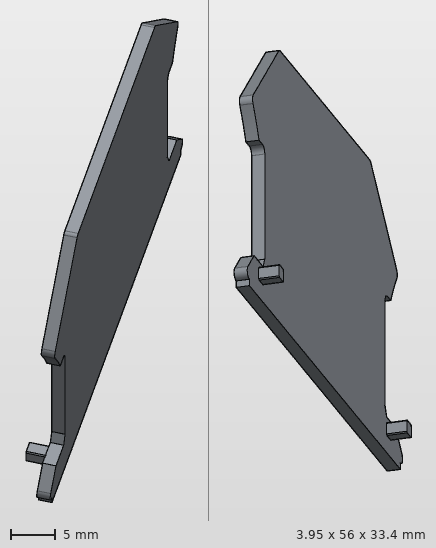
import cadquery as cq
import math

plate_thickness = 1.55
total_height = 33.4
half_length = 28.0

top_half_width = 16.4
top_corner_radius = 0.7
ledge_height = 19.25
ledge_half_width = 23.75
shoulder_angle = math.radians(58)
shoulder_radius = 0.85
shoulder_hollow = 0.1
waist_half_width = 21.7
waist_radius = 0.85

foot_height = 4.35
gusset_width = 0.6
gusset_height = 1.2
toe_radius = 0.8
base_step = 0.8

pin_length = 2.4
pin_width = 1.7
pin_height = 1.55
pin_edge_chamfer = 0.14
pin_offset = 23.0
pin_center_z = 2.9

slope_sum = top_half_width + total_height
tip_overhang = (slope_sum - ledge_half_width - ledge_height) / (1 + math.tan(shoulder_angle))
tip_y = ledge_half_width + tip_overhang
tip_z = slope_sum - tip_y

hollow_y = (ledge_half_width + tip_y) / 2 - shoulder_hollow * math.sin(shoulder_angle)
hollow_z = (ledge_height + tip_z) / 2 + shoulder_hollow * math.cos(shoulder_angle)

toe_center_y = half_length - toe_radius
toe_center_z = base_step + toe_radius
toe_reach = toe_radius * math.sqrt(0.5)
toe_tangent_y = toe_center_y + toe_reach
toe_tangent_z = toe_center_z + toe_reach
foot_top_y = toe_tangent_y + toe_tangent_z - foot_height


def half_plate():
    """Plate half on the +Y side, from X = 0 to the plate thickness."""
    body = (
        cq.Workplane("YZ")
        .moveTo(0, 0)
        .lineTo(toe_center_y, 0)
        .lineTo(toe_center_y, base_step)
        .threePointArc((half_length, toe_center_z), (toe_tangent_y, toe_tangent_z))
        .lineTo(foot_top_y, foot_height)
        .lineTo(waist_half_width + gusset_width, foot_height)
        .lineTo(waist_half_width, foot_height + gusset_height)
        .lineTo(waist_half_width, ledge_height)
        .lineTo(ledge_half_width, ledge_height)
        .threePointArc((hollow_y, hollow_z), (tip_y, tip_z))
        .lineTo(top_half_width, total_height)
        .lineTo(0, total_height)
        .close()
        .extrude(plate_thickness)
    )
    body = round_corner(body, waist_half_width, ledge_height, waist_radius)
    body = round_corner(body, tip_y, tip_z, shoulder_radius)
    return round_corner(body, top_half_width, total_height, top_corner_radius)


def round_corner(body, y, z, radius):
    """Fillet the through-thickness edge at the given outline corner."""
    corner = cq.selectors.NearestToPointSelector((plate_thickness / 2, y, z))
    return body.edges("|X").edges(corner).fillet(radius)


def pin(y):
    """Rectangular pin with its long edges broken."""
    return (
        cq.Workplane("YZ")
        .center(y, pin_center_z)
        .rect(pin_width, pin_height)
        .extrude(-pin_length)
        .edges("|X")
        .chamfer(pin_edge_chamfer)
    )


half = half_plate()
result = half.union(half.mirror("XZ")).clean()
for side in (-1, 1):
    result = result.union(pin(side * pin_offset))